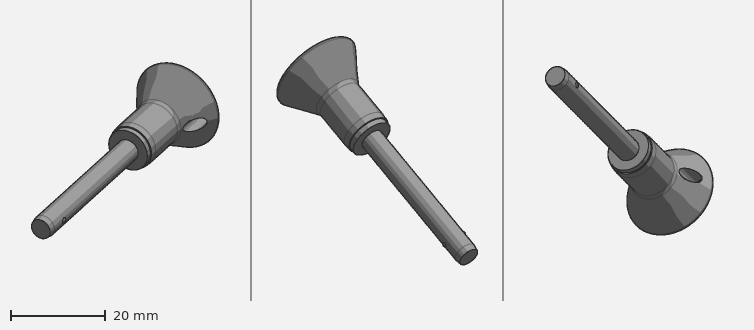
import cadquery as cq
import math

total_length = 57.0

handle_length = 21.05
rim_diameter = 20.0
rim_radius = rim_diameter / 2
rim_fillet = 0.485
sleeve_start = 9.35
sleeve_radius = 5.15
flare_angle = math.radians(31)
neck_fillet = 2.0
ring_length = 1.55
ring_end_radius = 5.0
collar_length = 1.25
collar_radius = 4.75

shank_radius = 2.5
tip_length = 1.4
tip_end_radius = 2.3

ball_to_tip = 5.4
ball_radius = 0.75
ball_protrusion = 0.3

lanyard_hole_diameter = 2.95
lanyard_hole_offset = 7.1


def make_body():
    """Revolve the half profile of the pin (radius, Y) about the Y axis."""
    face_y = handle_length
    tip_y = handle_length - total_length
    sleeve_y = face_y - sleeve_start
    ring_end_y = collar_length
    ring_start_y = ring_end_y + ring_length

    def rim_point(angle):
        radius = rim_radius - rim_fillet * (1 - math.cos(angle))
        return radius, face_y - rim_fillet * (1 - math.sin(angle))

    def neck_point(angle):
        radius = sleeve_radius + neck_fillet * (1 - math.cos(angle))
        return radius, sleeve_y + neck_fillet * math.sin(angle)

    profile = (
        cq.Workplane("XY")
        .moveTo(0, face_y)
        .lineTo(*rim_point(math.pi / 2))
        .threePointArc(rim_point(math.pi / 4), rim_point(0))
        .threePointArc(rim_point(-flare_angle / 2), rim_point(-flare_angle))
        .lineTo(*neck_point(flare_angle))
        .threePointArc(neck_point(flare_angle / 2), neck_point(0))
        .lineTo(sleeve_radius, ring_start_y)
        .lineTo(ring_end_radius, ring_end_y)
        .lineTo(collar_radius, ring_end_y)
        .lineTo(collar_radius, 0)
        .lineTo(shank_radius, 0)
        .lineTo(shank_radius, tip_y + tip_length)
        .lineTo(tip_end_radius, tip_y)
        .lineTo(0, tip_y)
        .close()
    )
    return profile.revolve(360, (0, 0, 0), (0, 1, 0))


def add_locking_balls(body):
    """Add a ball on each side of the shank, partly sunk into it."""
    ball_x = shank_radius + ball_protrusion - ball_radius
    ball_y = handle_length - total_length + ball_to_tip
    for side in (-1, 1):
        ball = cq.Workplane("XY").sphere(ball_radius)
        body = body.union(ball.translate((side * ball_x, ball_y, 0)))
    return body


def cut_lanyard_hole(body):
    hole = (
        cq.Workplane("XZ", origin=(lanyard_hole_offset, handle_length, 0))
        .circle(lanyard_hole_diameter / 2)
        .extrude(handle_length)
    )
    return body.cut(hole)


result = cut_lanyard_hole(add_locking_balls(make_body()))